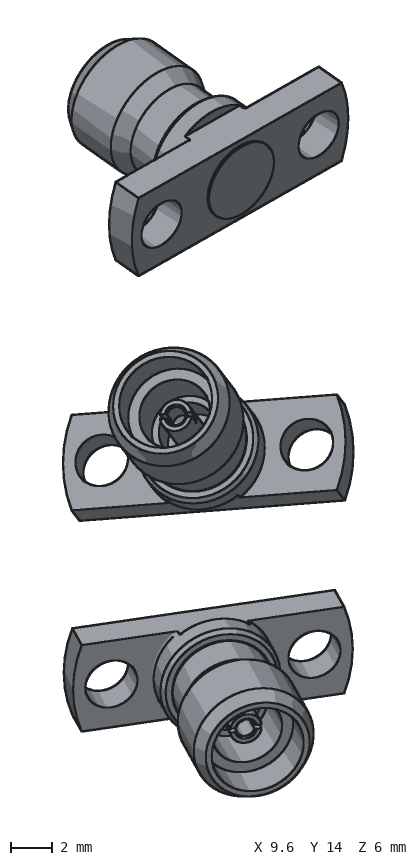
import cadquery as cq
import math


nose_chamfer_end = 0.7
barrel_end = 3.52
neck_start = 4.4
relief_start = 6.26
collar_start = 6.33
collar_full = 6.55
flat_start = 7.5
flange_front = 7.85
flange_back = 9.5
overall_length = 9.6

barrel_radius = 3.0
nose_radius = 2.6
neck_radius = 2.5
relief_radius = 2.47
collar_edge_radius = 2.8
collar_radius = barrel_radius
rear_boss_radius = 2.1
root_fillet = 0.1

flange_height = 4.85
flange_end_radius = 7.0
mount_hole_offset = 5.08
mount_hole_diameter = 2.6

mouth_radius = 2.3
mouth_depth = 1.85
socket_radius = 1.75
socket_depth = neck_start
inner_radius = 1.41
inner_depth = relief_start

contact_tip = 2.05
contact_radius = 0.79
contact_bore_radius = 0.46
contact_mouth_radius = 0.55
contact_bore_depth = 1.4
drill_half_angle = math.radians(59)
slot_width = 0.22
slot_depth = 1.0


def revolve_profile(points):
    """Revolve a closed (x, radius) outline about the X axis."""
    return cq.Workplane("XY").polyline(points).close().revolve(360, (0, 0, 0), (1, 0, 0))


def rod(start, end, radius):
    """Cylinder along X between two stations."""
    return cq.Workplane("YZ", origin=(start, 0, 0)).circle(radius).extrude(end - start)


def make_body():
    """Barrel, neck and collar, with the collar trimmed flush to the flange edges."""
    body = revolve_profile([
        (0, 0),
        (0, nose_radius),
        (nose_chamfer_end, barrel_radius),
        (barrel_end, barrel_radius),
        (neck_start, neck_radius),
        (relief_start, neck_radius),
        (relief_start, relief_radius),
        (collar_start, relief_radius),
        (collar_start, collar_edge_radius),
        (collar_full, collar_radius),
        (flange_front, collar_radius),
        (flange_front, 0),
    ])
    flat_length = flange_front - flat_start
    trim_depth = collar_radius - flange_height / 2
    for side in (1, -1):
        trim = cq.Workplane("XY").box(flat_length, 2 * collar_radius, trim_depth).translate(
            (flat_start + flat_length / 2, 0, side * (flange_height + trim_depth) / 2)
        )
        body = body.cut(trim)
    return body


def make_flange():
    """Flat bar with rounded ends, two mounting holes and a low round boss on its back."""
    thickness = flange_back - flange_front
    bar = cq.Workplane("XY").box(thickness, 2 * flange_end_radius, flange_height).translate(
        (flange_front + thickness / 2, 0, 0)
    )
    flange = rod(flange_front, flange_back, flange_end_radius).intersect(bar)
    holes = (
        cq.Workplane("YZ", origin=(flange_front, 0, 0))
        .pushPoints([(-mount_hole_offset, 0), (mount_hole_offset, 0)])
        .circle(mount_hole_diameter / 2)
        .extrude(thickness)
    )
    return flange.cut(holes).union(rod(flange_back, overall_length, rear_boss_radius))


def make_root_fillet():
    """Concave fillet between collar and flange face, on the +Y side only."""
    outer_radius = collar_radius + root_fillet
    fillet_start = flange_front - root_fillet
    bend = root_fillet * (1 - math.sqrt(0.5))
    ring = (
        cq.Workplane("XY")
        .moveTo(fillet_start, collar_radius)
        .threePointArc((flange_front - bend, collar_radius + bend), (flange_front, outer_radius))
        .lineTo(flange_front, collar_radius - root_fillet)
        .lineTo(fillet_start, collar_radius - root_fillet)
        .close()
        .revolve(360, (0, 0, 0), (1, 0, 0))
    )
    half_space = cq.Workplane("XY").box(root_fillet, outer_radius, flange_height).translate(
        (flange_front - root_fillet / 2, outer_radius / 2, 0)
    )
    return ring.intersect(half_space)


def make_socket():
    """Three coaxial bores, each smaller and deeper than the one before."""
    mouth = rod(0, mouth_depth, mouth_radius)
    socket = rod(0, socket_depth, socket_radius)
    inner = rod(0, inner_depth, inner_radius)
    return mouth.union(socket).union(inner)


def make_contact():
    """Slotted female contact, rooted just below the floor of the innermost bore."""
    contact = rod(contact_tip, collar_start, contact_radius)
    bore_end = contact_tip + contact_bore_depth
    bore = revolve_profile([
        (contact_tip, 0),
        (contact_tip, contact_mouth_radius),
        (contact_tip + contact_mouth_radius - contact_bore_radius, contact_bore_radius),
        (bore_end, contact_bore_radius),
        (bore_end + contact_bore_radius / math.tan(drill_half_angle), 0),
    ])
    slot = cq.Workplane("XY").box(slot_depth, 2 * contact_radius, slot_width).translate(
        (contact_tip + slot_depth / 2, 0, 0)
    )
    return contact.cut(bore).cut(slot)


shell = make_body().union(make_flange()).union(make_root_fillet())
result = shell.cut(make_socket()).union(make_contact())